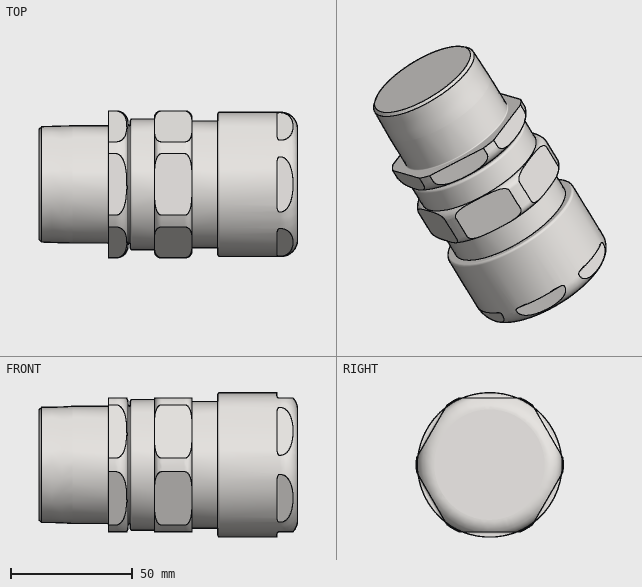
import cadquery as cq
import math


ACROSS_FLATS = 55.0
ACROSS_ROUNDED_CORNERS = 60.5
FLAT_COUNT = 6

THREAD_DIAMETER = 48.3
THREAD_TIP_DIAMETER = 47.6
TIP_CHAMFER = 1.2
TAPER_END = 13.9
FLANGE_START = 28.6
FLANGE_END = 36.7
FLANGE_ROUNDING = 5.0
FRONT_ROOT_RADIUS = 0.4
REAR_ROOT_RADIUS = 0.9
ENTRY_END = FLANGE_END + REAR_ROOT_RADIUS

COLLAR_DIAMETER = 54.0
HEX_START = 47.5
HEX_END = 63.0
HEX_ROUNDING = 3.0
NECK_DIAMETER = 52.2

CAP_DIAMETER = 59.5
CAP_START = 73.5
CAP_END = 106.4
CAP_END_ROUNDING = 7.0
CAP_FLATS_START = 97.9
CAP_FLATS_ROOT_RADIUS = 1.0

EDGE_ROUNDING = 1.0


def cylinder(diameter, start, end):
    """Round bar on the X axis."""
    return cq.Workplane("YZ", origin=(start, 0, 0)).circle(diameter / 2).extrude(end - start)


def hex_bar(start, end):
    """Hexagonal bar on the X axis with flats facing +Z and -Z."""
    across_corners = ACROSS_FLATS / math.cos(math.pi / FLAT_COUNT)
    return cq.Workplane("YZ", origin=(start, 0, 0)).polygon(FLAT_COUNT, across_corners).extrude(end - start)


def wrench_hex(start, end, rounding, rounded_ends):
    """Hexagonal bar whose corners are turned round, with the chosen ends rounded off."""
    envelope = cylinder(ACROSS_ROUNDED_CORNERS, start, end).faces(rounded_ends).edges().fillet(rounding)
    return hex_bar(start, end).intersect(envelope)


def make_entry_fitting():
    """Chamfered and tapered thread running through a hexagonal flange, with concave fillets at its roots."""
    thread_radius = THREAD_DIAMETER / 2
    tip_radius = THREAD_TIP_DIAMETER / 2
    shaft = (
        cq.Workplane("XY")
        .moveTo(0, 0)
        .lineTo(0, tip_radius - TIP_CHAMFER)
        .lineTo(TIP_CHAMFER, tip_radius)
        .lineTo(TAPER_END, thread_radius)
        .lineTo(FLANGE_START - FRONT_ROOT_RADIUS, thread_radius)
        .radiusArc((FLANGE_START, thread_radius + FRONT_ROOT_RADIUS), -FRONT_ROOT_RADIUS)
        .lineTo(FLANGE_END, thread_radius + REAR_ROOT_RADIUS)
        .radiusArc((ENTRY_END, thread_radius), -REAR_ROOT_RADIUS)
        .lineTo(ENTRY_END, 0)
        .close()
        .revolve(360, (0, 0, 0), (1, 0, 0))
    )
    flange = wrench_hex(FLANGE_START, FLANGE_END, FLANGE_ROUNDING, ">X")
    return shaft.union(flange)


def make_main_body():
    """Round collar, wrench hexagon rounded at both ends, and neck up to the cap."""
    collar = cylinder(COLLAR_DIAMETER, ENTRY_END, HEX_START).faces("<X").edges().fillet(EDGE_ROUNDING)
    hexagon = wrench_hex(HEX_START, HEX_END, HEX_ROUNDING, "<X or >X")
    neck = cylinder(NECK_DIAMETER, HEX_END, CAP_START)
    return collar.union(hexagon).union(neck)


def make_cap_nut():
    """Round cap with a domed edge and six short wrench flats at its end."""
    cap = (
        cylinder(CAP_DIAMETER, CAP_START, CAP_END)
        .faces("<X").edges().fillet(EDGE_ROUNDING)
        .faces(">X").edges().fillet(CAP_END_ROUNDING)
    )
    flat_height = ACROSS_FLATS / 2
    flat_cutter = (
        cq.Workplane("XZ", origin=(0, CAP_DIAMETER / 2, 0))
        .moveTo(CAP_FLATS_START, CAP_DIAMETER)
        .lineTo(CAP_FLATS_START, flat_height + CAP_FLATS_ROOT_RADIUS)
        .radiusArc((CAP_FLATS_START + CAP_FLATS_ROOT_RADIUS, flat_height), -CAP_FLATS_ROOT_RADIUS)
        .lineTo(CAP_END, flat_height)
        .lineTo(CAP_END, CAP_DIAMETER)
        .close()
        .extrude(CAP_DIAMETER)
    )
    for index in range(FLAT_COUNT):
        turn = index * 360 / FLAT_COUNT
        cap = cap.cut(flat_cutter.rotate((0, 0, 0), (1, 0, 0), turn))
    return cap


entry_fitting = make_entry_fitting()
main_body = make_main_body()
cap_nut = make_cap_nut()

result = cq.Compound.makeCompound([entry_fitting.val(), main_body.val(), cap_nut.val()])